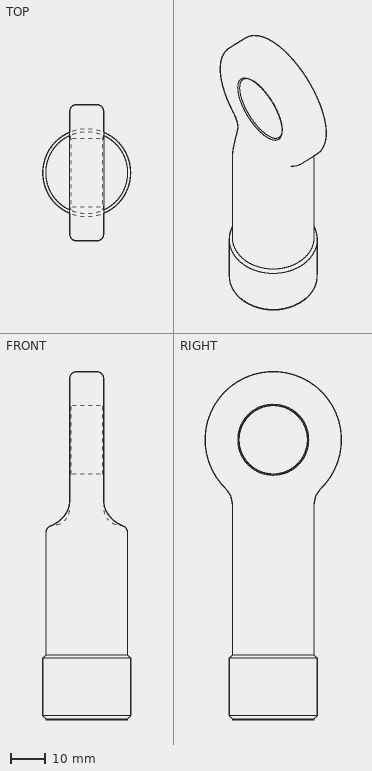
import cadquery as cq
import math

total_height = 102.0
eye_diameter = 40.0
eye_hole_diameter = 20.0
eye_thickness = 10.0
hole_chamfer = 0.4

shank_diameter = 24.0
collar_diameter = 25.8
collar_height = 19.0
collar_bottom_chamfer = 1.2

neck_fillet = 6.0
shoulder_radius = 5.0
shoulder_start_radius = 20.1
edge_fillet = 2.0

blank_thickness = 16.3
cut_margin = 2.0

eye_radius = eye_diameter / 2
eye_height = total_height - eye_radius
half_thickness = eye_thickness / 2
shank_radius = shank_diameter / 2
collar_step = (collar_diameter - shank_diameter) / 2


def make_blank():
    """Round shank joined to a wide disc, with the neck blended on both sides."""
    shank = cq.Workplane("XY").circle(shank_radius).extrude(eye_height)
    disc = (
        cq.Workplane("YZ")
        .center(0, eye_height)
        .circle(eye_radius)
        .extrude(blank_thickness / 2, both=True)
    )
    neck_seams = cq.selectors.BoxSelector(
        (-cut_margin, -eye_radius, eye_height - eye_radius),
        (cut_margin, eye_radius, eye_height - cut_margin),
    )
    blank = shank.union(disc)
    return blank.edges(neck_seams).fillet(neck_fillet)


def make_shoulder_cutter():
    """Round cutter about the eye axis that clears one side down to a curved shoulder."""
    cut_end = shank_radius + cut_margin
    arc_end = half_thickness + shoulder_radius
    floor_radius = shoulder_start_radius + shoulder_radius
    diagonal = shoulder_radius * math.sqrt(0.5)
    arc_middle = (arc_end - diagonal, shoulder_start_radius + diagonal)
    profile = (
        cq.Workplane("XY")
        .moveTo(half_thickness, 0)
        .lineTo(half_thickness, shoulder_start_radius)
        .threePointArc(arc_middle, (arc_end, floor_radius))
        .lineTo(cut_end, floor_radius)
        .lineTo(cut_end, 0)
        .close()
    )
    return profile.revolve(360, (0, 0, 0), (1, 0, 0)).translate((0, 0, eye_height))


def make_collar():
    """Collar around the foot, chamfered below and sloping in to the shank above."""
    collar = cq.Workplane("XY").circle(collar_diameter / 2).extrude(collar_height)
    collar = collar.faces("<Z").chamfer(collar_bottom_chamfer)
    return collar.faces(">Z").chamfer(collar_step)


def make_hole_cutter():
    """Through hole of the eye with a small chamfer at each mouth."""
    hole_radius = eye_hole_diameter / 2
    profile = (
        cq.Workplane("XY")
        .moveTo(-half_thickness, 0)
        .lineTo(-half_thickness, hole_radius + hole_chamfer)
        .lineTo(-half_thickness + hole_chamfer, hole_radius)
        .lineTo(half_thickness - hole_chamfer, hole_radius)
        .lineTo(half_thickness, hole_radius + hole_chamfer)
        .lineTo(half_thickness, 0)
        .close()
    )
    return profile.revolve(360, (0, 0, 0), (1, 0, 0)).translate((0, 0, eye_height))


cutter = make_shoulder_cutter()
body = make_blank().cut(cutter).cut(cutter.mirror("YZ"))

for side in (-1, 1):
    rim_top = (side * half_thickness, 0, total_height)
    body = body.edges(cq.selectors.NearestToPointSelector(rim_top)).fillet(edge_fillet)

result = body.union(make_collar()).cut(make_hole_cutter())